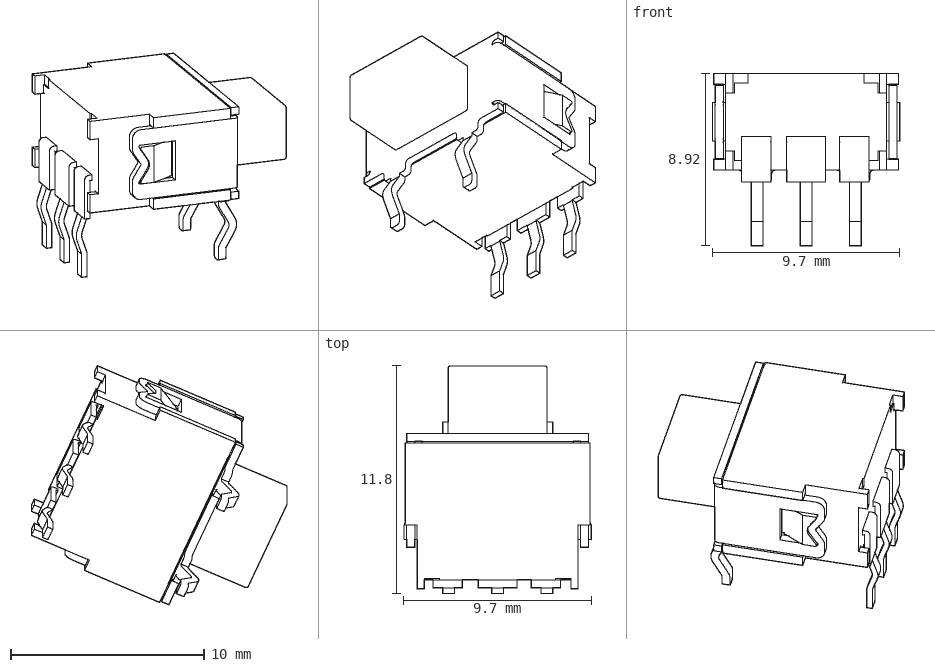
import math

import cadquery as cq


pick_reach = 0.01

body_height = 5.0
body_length = 7.09
core_half_width = 4.165
rail_half_width = 4.78
rail_inner_z = 1.93
rail_length = 4.26

post_reach = 7.55
post_width = 0.375
post_height = 1.0
recess_depth = 0.07
recess_width = 0.79
recess_height = 0.5
recess_strip_width = 0.085

sheet = 0.42
bracket_gap = 0.07
bracket_half_width = 4.70
plate_front = bracket_gap + sheet
bend_radius = 0.25
notch_radius = 0.2

pad_width = 7.82
pad_height = 4.6
pad_corner_radius = 0.48

arm_half_height = 1.9
arm_inner_x = bracket_half_width - sheet
arm_end_y = -5.41
arm_corner_radius = 0.48
vee_angle = math.radians(33)
vee_apex_y = -4.92
vee_knee_radius = 0.53
vee_apex_radius = 0.05
vee_inner_radius = 0.5
window_start_y = -3.025
window_vee_apex_y = -4.42
window_half_height = 1.06
window_corner_radius = 0.08

catch_half_width = 4.85
catch_half_height = 1.0

slider_width = 5.13
slider_height = 2.96
slider_tip = 3.98
slider_edge_radius = 0.16
slider_tip_radius = 0.13

pin_pitch = 2.54
leg_width = 0.62
leg_end_z = -6.42
shoulder_end_z = -3.12

tab_width = 1.52
tab_fillet = 0.2
tip_radius = 0.17
leg_kink_z = -4.54
leg_kink_half_height = 1.11
leg_kink_angle = math.radians(30)
leg_kink_radius = 0.32
leg_knee_radius = sheet

terminal_thickness = 0.3
terminal_outer_y = -7.5
terminal_top_z = -0.75
terminal_bend_radius = 0.25
terminal_root_depth = 0.3
side_blade_width = 1.525
side_blade_shift = -0.04
middle_blade_width = 2.02
pin_kink_z = -4.135
pin_kink_half_height = 0.97
pin_kink_angle = math.radians(19)
pin_kink_radius = 0.58
pin_knee_radius = 0


def block(x_range, y_range, z_range):
    """Axis-aligned box between pairs of limits."""
    size = [high - low for low, high in (x_range, y_range, z_range)]
    return cq.Workplane("XY").box(*size, centered=False).translate((x_range[0], y_range[0], z_range[0]))


def mirrored_x(solid):
    """The solid together with its mirror image across X = 0."""
    return solid.union(solid.mirror("YZ"))


def mirrored_z(solid):
    """The solid together with its mirror image across Z = 0."""
    return solid.union(solid.mirror("XY"))


def make_body():
    half_height = body_height / 2
    body = block(
        (-core_half_width, core_half_width), (-body_length, 0), (-half_height, half_height)
    )
    rail = block(
        (core_half_width, rail_half_width), (-rail_length, 0), (rail_inner_z, half_height)
    )
    post_inner_x = core_half_width - post_width
    post_bottom_z = half_height - post_height
    post = block(
        (post_inner_x, core_half_width), (-post_reach, -body_length), (post_bottom_z, half_height)
    )
    recess_y = (-body_length, recess_depth - body_length)
    recess = block(
        (post_inner_x - recess_width, post_inner_x), recess_y, (half_height - recess_height, half_height)
    ).union(
        block((post_inner_x - recess_strip_width, post_inner_x), recess_y, (post_bottom_z, half_height))
    )
    body = body.cut(mirrored_x(mirrored_z(recess)))
    body = body.union(mirrored_x(mirrored_z(rail.union(post))))
    pad = (
        cq.Workplane("XZ")
        .rect(pad_width, pad_height)
        .extrude(-bracket_gap)
        .edges("|Y")
        .fillet(pad_corner_radius)
    )
    return body.union(pad)


def rounded_prism(corners, x_range):
    """Prism along X over a polygon of (y, z, radius) corners; a zero radius leaves a corner sharp."""
    x_low, x_high = x_range
    outline = [(y, z) for y, z, _ in corners]
    prism = cq.Workplane("YZ", origin=(x_low, 0, 0)).polyline(outline).close().extrude(x_high - x_low)
    for y, z, radius in corners:
        if radius > 0:
            edge = cq.selectors.BoxSelector(
                (x_low - pick_reach, y - pick_reach, z - pick_reach),
                (x_high + pick_reach, y + pick_reach, z + pick_reach),
            )
            prism = prism.edges("|X").edges(edge).fillet(radius)
    return prism


def window_prism(half_height, x_range):
    """Prism along X over the window outline, whose -Y end follows the inner side of the arm's V."""
    end_y = window_vee_apex_y - half_height * math.tan(vee_angle)
    corners = [
        (window_start_y, half_height, 0),
        (end_y, half_height, window_corner_radius),
        (window_vee_apex_y, 0, vee_inner_radius),
        (end_y, -half_height, window_corner_radius),
        (window_start_y, -half_height, 0),
    ]
    return rounded_prism(corners, x_range)


def make_arm():
    """Side arm on +X, with its window."""
    x_range = (arm_inner_x, bracket_half_width)
    knee_z = (vee_apex_y - arm_end_y) / math.tan(vee_angle)
    corners = [
        (plate_front, arm_half_height, 0),
        (arm_end_y, arm_half_height, arm_corner_radius),
        (arm_end_y, knee_z, vee_knee_radius),
        (vee_apex_y, 0, vee_apex_radius),
        (arm_end_y, -knee_z, vee_knee_radius),
        (arm_end_y, -arm_half_height, arm_corner_radius),
        (plate_front, -arm_half_height, 0),
    ]
    arm = rounded_prism(corners, x_range)
    window = window_prism(window_half_height, x_range)
    return arm.cut(window)


def make_catch():
    """Catch on +X: a ramp that rises toward -Y, then a flat top that fills the end of the window."""
    x_range = (core_half_width, catch_half_width)
    catch = window_prism(catch_half_height, x_range)
    above_ramp = (
        cq.Workplane("XY", origin=(0, 0, -catch_half_height))
        .moveTo(core_half_width, window_start_y)
        .lineTo(catch_half_width, window_start_y)
        .lineTo(catch_half_width, -rail_length)
        .close()
        .extrude(2 * catch_half_height)
    )
    return catch.cut(above_ramp)


def kinked_strip(x_range, base_y, bulge, thickness, top_z, end_z, kink):
    """Vertical strip with one V-shaped kink.

    The face at base_y is the hollow side; bulge is the Y direction (+1 or -1) in which
    the kink stands out. kink is (middle z, half height, slope angle, hollow-side radius at
    the apex, hollow-side radius at the two knees).
    """
    middle_z, half_height, angle, apex_radius, knee_radius = kink

    def side(offset, side_knee_radius):
        half = half_height + offset * math.tan(angle / 2)
        face_y = base_y + bulge * offset
        apex_y = face_y + bulge * half * math.tan(angle)
        return [
            (face_y, top_z, 0),
            (face_y, middle_z + half, side_knee_radius),
            (apex_y, middle_z, apex_radius + offset),
            (face_y, middle_z - half, side_knee_radius),
            (face_y, end_z, 0),
        ]

    return rounded_prism(side(0, knee_radius) + side(thickness, 0)[::-1], x_range)


def make_plate():
    """Bracket plate with relief notches at the arm bends."""
    half_height = body_height / 2
    plate_y = (bracket_gap, plate_front)
    plate = block((-bracket_half_width, bracket_half_width), plate_y, (-half_height, half_height))
    notch = block(
        (arm_inner_x + notch_radius, bracket_half_width),
        plate_y,
        (arm_half_height, arm_half_height + notch_radius),
    )
    notch_round = (
        cq.Workplane("XZ", origin=(arm_inner_x + notch_radius, 0, arm_half_height))
        .circle(notch_radius)
        .extrude(-plate_front)
    )
    arm_zone = block(
        (0, bracket_half_width), (0, plate_front), (-arm_half_height, arm_half_height)
    )
    notch = notch.union(notch_round.cut(arm_zone))
    return plate.cut(mirrored_x(mirrored_z(notch)))


def make_tab(centre_x):
    """Tab below the plate, flared into the plate edge and rounded at its free corners."""
    edge_z = -body_height / 2
    half_width = tab_width / 2
    return (
        cq.Workplane("XZ", origin=(centre_x, plate_front, 0))
        .moveTo(-half_width - tab_fillet, edge_z)
        .radiusArc((-half_width, edge_z - tab_fillet), tab_fillet)
        .lineTo(-half_width, shoulder_end_z + tab_fillet)
        .radiusArc((-half_width + tab_fillet, shoulder_end_z), -tab_fillet)
        .lineTo(half_width - tab_fillet, shoulder_end_z)
        .radiusArc((half_width, shoulder_end_z + tab_fillet), -tab_fillet)
        .lineTo(half_width, edge_z - tab_fillet)
        .radiusArc((half_width + tab_fillet, edge_z), tab_fillet)
        .close()
        .extrude(sheet)
    )


def make_bracket_leg(centre_x):
    x_range = (centre_x - leg_width / 2, centre_x + leg_width / 2)
    kink = (leg_kink_z, leg_kink_half_height, leg_kink_angle, leg_kink_radius, leg_knee_radius)
    leg = kinked_strip(x_range, bracket_gap, 1, sheet, shoulder_end_z, leg_end_z, kink)
    return leg.faces("<Z").edges("|Y").fillet(tip_radius)


def make_bracket():
    bracket = make_plate()
    arms = mirrored_x(make_arm().edges(">X and >Y").fillet(bend_radius))
    bend_zone = block(
        (arm_inner_x, bracket_half_width), (0, plate_front), (-arm_half_height, arm_half_height)
    )
    bracket = bracket.cut(mirrored_x(bend_zone)).union(arms)
    for centre_x in (-pin_pitch, pin_pitch):
        bracket = bracket.union(make_tab(centre_x)).union(make_bracket_leg(centre_x))
    return bracket


def make_slider():
    return (
        cq.Workplane("XZ", origin=(0, plate_front, 0))
        .rect(slider_width, slider_height)
        .extrude(plate_front - slider_tip)
        .edges("|Y")
        .fillet(slider_edge_radius)
        .faces(">Y")
        .edges()
        .fillet(slider_tip_radius)
    )


def make_terminal(centre_x, blade_width, blade_shift):
    """L-shaped blade that leaves the back of the body and turns down into a kinked pin."""
    blade_x = centre_x + blade_shift
    inner_y = terminal_outer_y + terminal_thickness
    root_y = terminal_root_depth - body_length
    under_z = terminal_top_z - terminal_thickness
    corners = [
        (root_y, terminal_top_z, 0),
        (terminal_outer_y, terminal_top_z, terminal_bend_radius),
        (terminal_outer_y, shoulder_end_z, 0),
        (inner_y, shoulder_end_z, 0),
        (inner_y, under_z, 0),
        (root_y, under_z, 0),
    ]
    blade = rounded_prism(corners, (blade_x - blade_width / 2, blade_x + blade_width / 2))
    pin_x = (centre_x - leg_width / 2, centre_x + leg_width / 2)
    kink = (pin_kink_z, pin_kink_half_height, pin_kink_angle, pin_kink_radius, pin_knee_radius)
    pin = kinked_strip(pin_x, inner_y, -1, terminal_thickness, shoulder_end_z, leg_end_z, kink)
    return blade.union(pin)


result = make_body().union(mirrored_x(make_catch())).union(make_bracket()).union(make_slider())
for centre_x, blade_width, blade_shift in (
    (-pin_pitch, side_blade_width, side_blade_shift),
    (0, middle_blade_width, 0),
    (pin_pitch, side_blade_width, side_blade_shift),
):
    result = result.union(make_terminal(centre_x, blade_width, blade_shift))